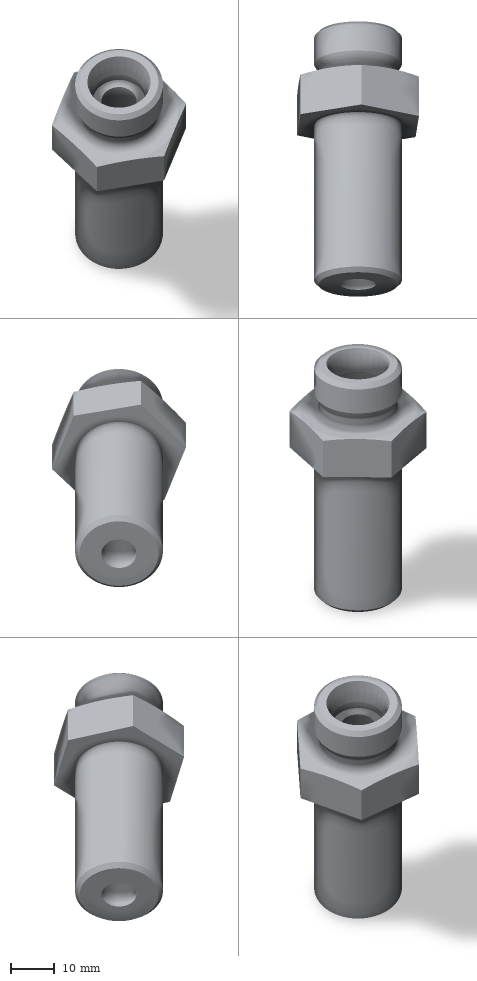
import cadquery as cq
import math

total_length = 60.0
hex_across_flats = 27.0
hex_across_corners = hex_across_flats / math.cos(math.radians(30))
hex_height = 10.0
hex_top = 48.0
hex_bottom = hex_top - hex_height
hex_chamfer_angle = 15.0

body_radius = 20.0 / 2
end_chamfer_radial = 1.0
end_chamfer_height = 1.0

neck_radius = 17.7 / 2
neck_fillet = 1.1
collar_bottom = total_length - 7.3
undercut_angle = 30.0

bore_radius = 8.0 / 2
socket_radius = 12.0 / 2
socket_depth = 7.5
cone_half_angle = 12.0
cone_depth = 5.5


def make_turned_body():
    """Shank, undercut neck and collar as one revolved profile."""
    end_radius = body_radius - end_chamfer_radial
    taper = math.radians(undercut_angle)
    taper_end = collar_bottom - (body_radius - neck_radius) / math.tan(taper)
    tangent = neck_fillet * math.tan(taper / 2)
    arc_top = (neck_radius + tangent * math.sin(taper), taper_end + tangent * math.cos(taper))
    arc_bottom = (neck_radius, taper_end - tangent)
    arc_middle = (
        neck_radius + neck_fillet * (1 - math.cos(taper / 2)),
        arc_bottom[1] + neck_fillet * math.sin(taper / 2),
    )
    foot_radius = neck_radius + neck_fillet
    foot_middle = (
        foot_radius - neck_fillet * math.cos(math.radians(45)),
        hex_top + neck_fillet * (1 - math.sin(math.radians(45))),
    )
    return (
        cq.Workplane("XZ")
        .moveTo(0, 0)
        .lineTo(end_radius, 0)
        .lineTo(body_radius, end_chamfer_height)
        .lineTo(body_radius, hex_bottom)
        .lineTo(foot_radius, hex_top)
        .threePointArc(foot_middle, (neck_radius, hex_top + neck_fillet))
        .lineTo(*arc_bottom)
        .threePointArc(arc_middle, arc_top)
        .lineTo(body_radius, collar_bottom)
        .lineTo(body_radius, total_length - end_chamfer_height)
        .lineTo(end_radius, total_length)
        .lineTo(0, total_length)
        .close()
        .revolve(360, (0, 0), (0, 1))
    )


def make_hexagon():
    """Hexagon with corners on the Y axis and conically chamfered top corners."""
    prism = (
        cq.Workplane("XY", origin=(0, 0, hex_bottom))
        .polygon(6, hex_across_corners)
        .extrude(hex_height)
        .rotate((0, 0, 0), (0, 0, 1), 30)
    )
    top_radius = hex_across_flats / 2
    bottom_radius = top_radius + hex_height / math.tan(math.radians(hex_chamfer_angle))
    envelope = (
        cq.Workplane("XZ")
        .polyline([(0, hex_bottom), (bottom_radius, hex_bottom), (top_radius, hex_top), (0, hex_top)])
        .close()
        .revolve(360, (0, 0), (0, 1))
    )
    return prism.intersect(envelope)


def make_bore():
    """Through bore with a cylindrical socket and a tapered mouth at the top."""
    socket_floor = total_length - socket_depth
    cone_bottom = total_length - cone_depth
    mouth_radius = socket_radius + cone_depth * math.tan(math.radians(cone_half_angle))
    return (
        cq.Workplane("XZ")
        .polyline([
            (0, 0),
            (bore_radius, 0),
            (bore_radius, socket_floor),
            (socket_radius, socket_floor),
            (socket_radius, cone_bottom),
            (mouth_radius, total_length),
            (0, total_length),
        ])
        .close()
        .revolve(360, (0, 0), (0, 1))
    )


result = make_turned_body().union(make_hexagon()).cut(make_bore())